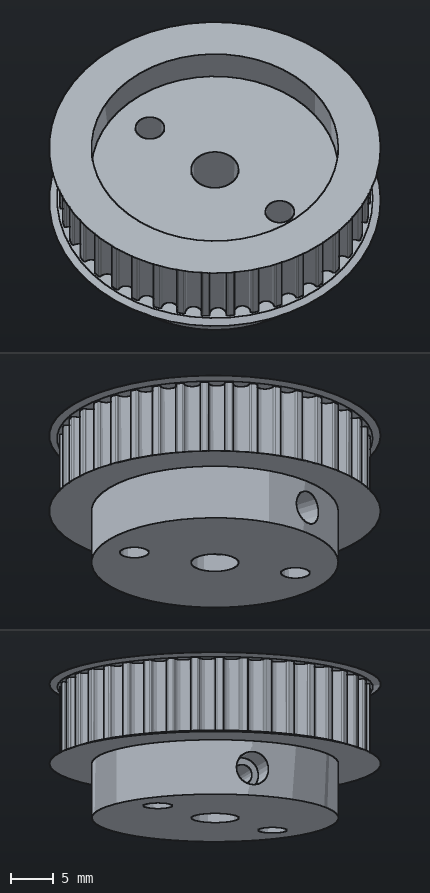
import cadquery as cq
import math

flange_diameter = 38.97
total_height = 16.0

hub_diameter = 29.0
hub_height = 6.5

flange_thickness = 0.35
flange_flat_diameter = 37.1

tooth_count = 39
tooth_tip_diameter = 36.48
groove_depth = 1.3
groove_width = 1.9
tooth_tip_fillet = 0.2

recess_diameter = hub_diameter
recess_depth = 4.0
bore_diameter = 5.57
bolt_hole_diameter = 3.4
bolt_circle_radius = 10.0
bolt_angles = (30, 210)

screw_angles = (150, 270)
screw_hole_height = hub_height / 2
screw_hole_diameter = 2.35
screw_counterbore_diameter = 3.95
screw_counterbore_depth = 4.0

flange_radius = flange_diameter / 2
flange_flat_radius = flange_flat_diameter / 2
hub_radius = hub_diameter / 2


def make_flanged_core():
    """Revolve the hub, both flanges and a plain core as deep as the groove bottoms."""
    core_radius = tooth_tip_diameter / 2 - groove_depth
    profile = [
        (0, 0),
        (hub_radius, 0),
        (hub_radius, hub_height),
        (flange_radius, hub_height),
        (flange_flat_radius, hub_height + flange_thickness),
        (core_radius, hub_height + flange_thickness),
        (core_radius, total_height - flange_thickness),
        (flange_flat_radius, total_height - flange_thickness),
        (flange_radius, total_height),
        (0, total_height),
    ]
    return cq.Workplane("XZ").polyline(profile).close().revolve(360, (0, 0), (0, 1))


def make_toothed_rim():
    """Extrude the tooth outline: round-bottomed grooves and filleted tooth tips."""
    tip_radius = tooth_tip_diameter / 2
    groove_radius = groove_width / 2
    groove_bottom = tip_radius - groove_depth
    groove_center = groove_bottom + groove_radius
    pitch = 2 * math.pi / tooth_count

    axis_distance = tip_radius - tooth_tip_fillet
    groove_distance = groove_radius + tooth_tip_fillet
    land_angle = math.acos(
        (axis_distance**2 + groove_center**2 - groove_distance**2) / (2 * axis_distance * groove_center)
    )
    fillet_x = axis_distance * math.cos(land_angle)
    fillet_y = axis_distance * math.sin(land_angle)
    flank_angle = math.atan2(-fillet_y, groove_center - fillet_x)
    middle_angle = (land_angle + flank_angle) / 2

    def fillet_point(angle):
        """Point of the tip fillet on the +Y side of the groove lying on +X."""
        return (
            fillet_x + tooth_tip_fillet * math.cos(angle),
            fillet_y + tooth_tip_fillet * math.sin(angle),
        )

    land_x, land_y = fillet_point(land_angle)
    middle_x, middle_y = fillet_point(middle_angle)
    flank_x, flank_y = fillet_point(flank_angle)

    def place(x, y, turn):
        """Turn a point of the groove lying on +X to its place around the rim."""
        return (
            x * math.cos(turn) - y * math.sin(turn),
            x * math.sin(turn) + y * math.cos(turn),
        )

    outline = cq.Workplane("XY", origin=(0, 0, hub_height)).moveTo(land_x, -land_y)
    for index in range(tooth_count):
        turn = index * pitch
        outline = (
            outline.threePointArc(place(middle_x, -middle_y, turn), place(flank_x, -flank_y, turn))
            .threePointArc(place(groove_bottom, 0, turn), place(flank_x, flank_y, turn))
            .threePointArc(place(middle_x, middle_y, turn), place(land_x, land_y, turn))
            .threePointArc(place(tip_radius, 0, turn + pitch / 2), place(land_x, -land_y, turn + pitch))
        )
    return outline.close().extrude(total_height - hub_height - flange_thickness)


def cut_recess_and_holes(body):
    """Cut the top recess, then the bore and bolt holes through its floor."""
    body = body.faces(">Z").workplane().circle(recess_diameter / 2).cutBlind(-recess_depth)
    bottom = cq.Workplane("XY")
    bore = bottom.circle(bore_diameter / 2).extrude(total_height)
    body = body.cut(bore)
    for angle in bolt_angles:
        bolt_hole = (
            bottom.transformed(rotate=(0, 0, angle))
            .center(bolt_circle_radius, 0)
            .circle(bolt_hole_diameter / 2)
            .extrude(total_height)
        )
        body = body.cut(bolt_hole)
    return body


def cut_screw_holes(body):
    """Cut counterbored radial holes from the hub surface into the bore."""
    counterbore_floor = hub_radius - screw_counterbore_depth
    axis_plane = cq.Workplane("YZ").center(0, screw_hole_height)
    screw_hole = axis_plane.circle(screw_hole_diameter / 2).extrude(hub_radius)
    counterbore = (
        axis_plane.workplane(offset=counterbore_floor)
        .circle(screw_counterbore_diameter / 2)
        .extrude(screw_counterbore_depth)
    )
    cutter = screw_hole.union(counterbore)
    for angle in screw_angles:
        body = body.cut(cutter.rotate((0, 0, 0), (0, 0, 1), angle))
    return body


pulley = make_flanged_core().union(make_toothed_rim())
pulley = cut_recess_and_holes(pulley)
result = cut_screw_holes(pulley)